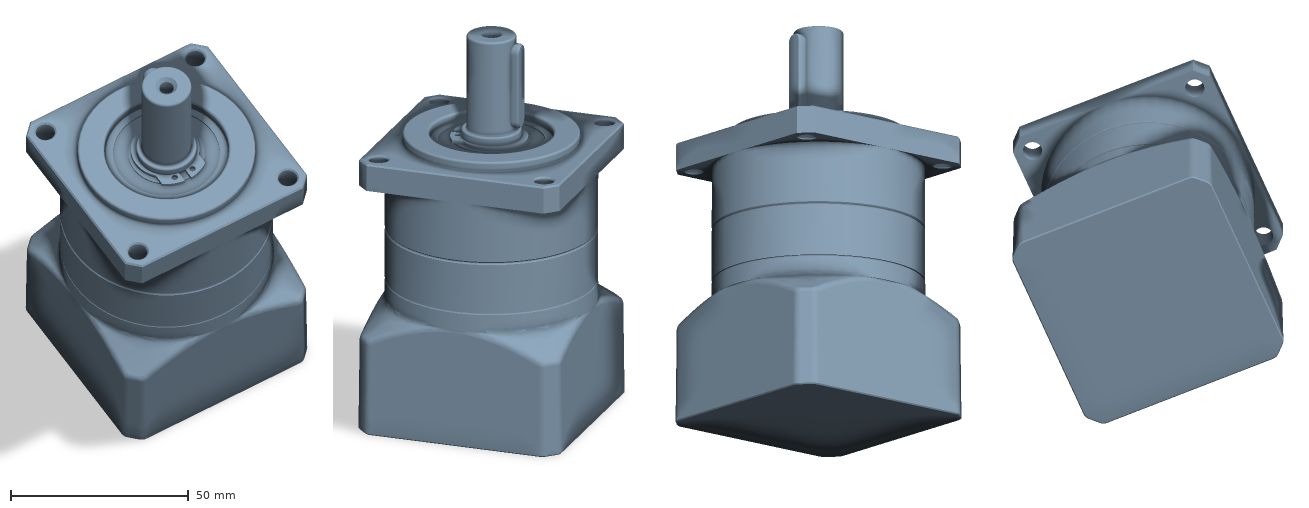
import cadquery as cq
import math

total_height = 113.0
flange_top = 81.0
flange_bottom = 73.1
housing_bottom = 55.4
ring_gear_bottom = 40.3

body_radius = 30.0
flange_half = body_radius
flange_corner_chamfer = 3.5
flange_edge_chamfer = 0.5
joint_chamfer = 0.5
pilot_radius = 25.0
pilot_top = 83.8
pilot_fillet = 0.7
pilot_root_fillet = 0.5
bore_fillet = 0.8
bolt_spacing = 49.5
bolt_hole_radius = 2.7
bolt_hole_chamfer = 0.5

adapter_half = 30.4
adapter_draft = 0.75
adapter_corner_chamfer = 4.0
adapter_corner_radius = 2.8
adapter_bottom_chamfer = 0.3
neck_bottom = 34.7
neck_bottom_radius = 30.2
neck_top_chamfer = 0.5
neck_fillet = 1.4
root_half = 28.9
shoulder_angle = 35.0
shoulder_edge_fillet = 1.9
shoulder_edge_bottom = 27.1

bearing_top = 81.6
bearing_width = 10.0
bearing_bore_radius = 8.5
bearing_outer_radius = 17.5
bearing_edge_chamfer = 0.5
outer_race_inner_radius = 15.0
inner_race_outer_radius = 10.7
shield_recess = 0.4
bearing_bottom = bearing_top - bearing_width

shaft_radius = 7.0
shaft_end_fillet = 0.7
collar_top = 85.0
collar_fillet = 0.5
shaft_root_fillet = 0.5
center_hole_radius = 2.0
center_hole_mouth_radius = 3.0
center_hole_depth = 12.4

circlip_thickness = 1.0
circlip_inner_radius = 8.1
circlip_outer_radius = 9.66
circlip_offset = 0.73
lug_radius = 11.6
lug_half_width = 7.1
lug_gap = 2.1
lug_start = 4.5
lug_hole_x = 9.2
lug_hole_y = 2.9
lug_hole_radius = 0.9
circlip_top = bearing_top + circlip_thickness

key_width = 5.0
key_length = 25.0
key_bottom = 86.1
key_outer = 9.0
key_height = 5.0
key_chamfer_depth = 0.7
key_chamfer_inset = 0.3


def disc(radius, bottom, top):
    return cq.Workplane("XY").workplane(offset=bottom).circle(radius).extrude(top - bottom)


def ring(outer, inner, bottom, top):
    return disc(outer, bottom, top).cut(disc(inner, bottom, top))


def revolved(profile):
    """Solid of revolution about Z from (radius, height) points."""
    return cq.Workplane("XZ").polyline(profile).close().revolve(360, (0, 0, 0), (0, 1, 0))


def rim(radius, height):
    """Selector for the circular edges about Z that lie at one height, up to one radius."""
    reach = radius + 0.1
    return cq.selectors.BoxSelector(
        (-reach, -reach, height - 0.1), (reach, reach, height + 0.1), boundingbox=True
    )


def make_housing():
    flange = (
        cq.Workplane("XY").workplane(offset=flange_bottom)
        .rect(2 * flange_half, 2 * flange_half)
        .extrude(flange_top - flange_bottom)
        .edges("|Z").chamfer(flange_corner_chamfer)
        .faces(">Z").edges().chamfer(flange_edge_chamfer)
    )
    flange = (
        flange.faces(">Z").workplane(origin=(0, 0, flange_top))
        .rect(bolt_spacing, bolt_spacing, forConstruction=True).vertices()
        .cskHole(2 * bolt_hole_radius, 2 * (bolt_hole_radius + bolt_hole_chamfer), 90)
    )
    barrel = disc(body_radius, housing_bottom, flange_bottom).faces("<Z").chamfer(joint_chamfer)
    pilot = disc(pilot_radius, flange_top, pilot_top).faces(">Z").edges().fillet(pilot_fillet)
    housing = flange.union(pilot).edges(rim(pilot_radius, flange_top)).fillet(pilot_root_fillet).union(barrel)
    bore = disc(bearing_outer_radius, bearing_bottom, pilot_top)
    return housing.cut(bore).edges(rim(bearing_outer_radius, pilot_top)).fillet(bore_fillet)


def make_ring_gear():
    return (
        disc(body_radius, ring_gear_bottom, housing_bottom)
        .faces(">Z").chamfer(joint_chamfer)
    )


def make_adapter():
    outline = (
        cq.Sketch().rect(2 * adapter_half, 2 * adapter_half)
        .vertices().chamfer(adapter_corner_chamfer)
        .reset().vertices().fillet(adapter_corner_radius)
    )
    block = cq.Workplane("XY").placeSketch(outline).extrude(ring_gear_bottom, taper=adapter_draft)
    tilt = math.radians(shoulder_angle)
    slope = math.tan(tilt)
    root_length = neck_fillet * math.tan(math.pi / 4 - tilt / 2)
    neck_root_top = neck_bottom + root_length
    reach = 2 * adapter_half
    shoulder_inner = 0.8 * neck_bottom_radius
    shoulder = revolved([
        (0, 0),
        (reach, 0),
        (reach, neck_bottom - slope * (reach - neck_bottom_radius)),
        (shoulder_inner, neck_bottom - slope * (shoulder_inner - neck_bottom_radius)),
        (0, neck_bottom - slope * (shoulder_inner - neck_bottom_radius)),
    ])
    shoulder_edges = cq.selectors.BoxSelector(
        (-reach, -reach, shoulder_edge_bottom), (reach, reach, neck_bottom + 1.1), boundingbox=True
    )
    block = block.intersect(shoulder).edges(shoulder_edges).fillet(shoulder_edge_fillet)
    block = block.faces("<Z").edges().chamfer(adapter_bottom_chamfer)
    neck_cone_top = ring_gear_bottom - neck_top_chamfer
    neck_flare = (neck_bottom_radius - body_radius) * root_length / (neck_cone_top - neck_root_top)
    neck = revolved([
        (0, neck_bottom),
        (neck_bottom_radius + neck_flare, neck_bottom),
        (body_radius, neck_cone_top),
        (body_radius - neck_top_chamfer, ring_gear_bottom),
        (0, ring_gear_bottom),
    ])
    flare = (
        cq.Workplane("XZ").moveTo(neck_bottom_radius, neck_bottom)
        .lineTo(neck_bottom_radius + root_length * math.cos(tilt), neck_bottom - root_length * math.sin(tilt))
        .radiusArc((neck_bottom_radius, neck_root_top), neck_fillet)
        .close().revolve(360, (0, 0, 0), (0, 1, 0))
    )
    corners = cq.Workplane("XY").rect(2 * root_half, 2 * root_half).extrude(ring_gear_bottom)
    return block.union(neck).union(flare.intersect(corners))


def make_inner_race():
    race = ring(inner_race_outer_radius, bearing_bore_radius, bearing_bottom, bearing_top)
    return race


def make_outer_race():
    body = disc(bearing_outer_radius, bearing_bottom, bearing_top).faces("<Z or >Z").chamfer(bearing_edge_chamfer)
    return body.cut(disc(outer_race_inner_radius, bearing_bottom, bearing_top))


def make_shield():
    return ring(
        outer_race_inner_radius, inner_race_outer_radius,
        bearing_bottom + shield_recess, bearing_top - shield_recess,
    )


def key_blank():
    return (
        cq.Workplane("YZ").workplane(offset=-key_outer)
        .center(0, key_bottom + key_length / 2)
        .slot2D(key_length, key_width, 90)
        .extrude(key_height)
    )


def make_key():
    return key_blank().faces("<X").chamfer(key_chamfer_depth, key_chamfer_inset)


def make_shaft():
    shank = disc(shaft_radius, collar_top, total_height)
    shank = shank.faces(">Z").edges().fillet(shaft_end_fillet)
    journal = disc(bearing_bore_radius, bearing_bottom, collar_top)
    journal = journal.faces(">Z").edges().fillet(collar_fillet)
    shaft = journal.union(shank).edges(rim(shaft_radius, collar_top)).fillet(shaft_root_fillet)
    groove = ring(bearing_bore_radius, circlip_inner_radius, bearing_top, circlip_top)
    mouth_depth = center_hole_mouth_radius - center_hole_radius
    center_hole = revolved([
        (0, total_height),
        (center_hole_mouth_radius, total_height),
        (center_hole_radius, total_height - mouth_depth),
        (center_hole_radius, total_height - center_hole_depth),
        (0, total_height - center_hole_depth),
    ])
    return shaft.cut(groove).cut(center_hole).cut(key_blank())


def make_circlip():
    band = disc(circlip_outer_radius, bearing_top, circlip_top).translate((-circlip_offset, 0, 0))
    lugs = disc(lug_radius, bearing_top, circlip_top).intersect(
        cq.Workplane("XY").box(lug_radius, 2 * lug_half_width, circlip_thickness, centered=(False, True, False))
        .translate((lug_start, 0, bearing_top))
    )
    gap = (
        cq.Workplane("XY").box(lug_radius, lug_gap, circlip_thickness, centered=(False, True, False))
        .translate((0, 0, bearing_top))
    )
    circlip = band.union(lugs).cut(disc(circlip_inner_radius, bearing_top, circlip_top)).cut(gap)
    for side in (-1, 1):
        hole = disc(lug_hole_radius, bearing_top, circlip_top)
        circlip = circlip.cut(hole.translate((lug_hole_x, side * lug_hole_y, 0)))
    return circlip


adapter = make_adapter()
ring_gear = make_ring_gear()
housing = make_housing()
outer_race = make_outer_race()
inner_race = make_inner_race()
shield = make_shield()
shaft = make_shaft()
circlip = make_circlip()
key = make_key()

result = cq.Compound.makeCompound([
    adapter.solids().val(), ring_gear.val(), housing.val(), outer_race.val(), inner_race.val(),
    shield.val(), shaft.val(), circlip.val(), key.val(),
])